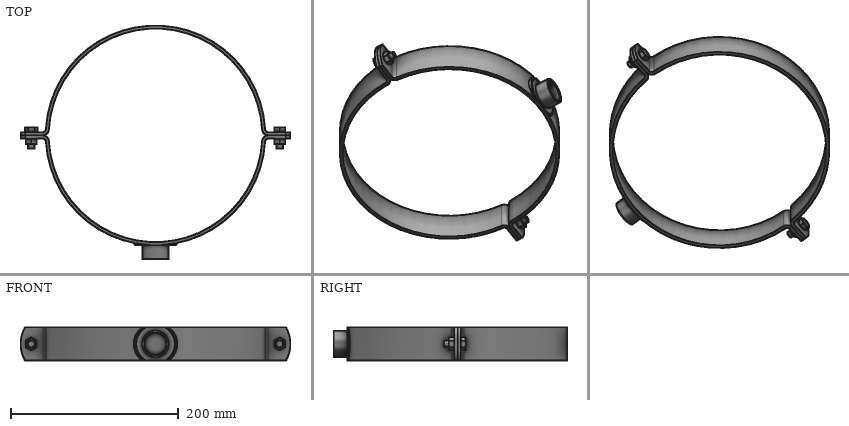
import cadquery as cq
import math

BAND_WIDTH = 40.0
BAND_THICKNESS = 4.0
RING_OUTER_RADIUS = 131.0
RING_INNER_RADIUS = RING_OUTER_RADIUS - BAND_THICKNESS
HALF_LENGTH = 161.0
EAR_TIP_RADIUS = BAND_WIDTH
BEND_INNER_RADIUS = 4.0
BEND_OUTER_RADIUS = BEND_INNER_RADIUS + BAND_THICKNESS

BOLT_X = 148.0
SHANK_DIAMETER = 8.0
SHANK_RADIUS = SHANK_DIAMETER / 2
BOLT_END = 15.8
HEAD_HEIGHT = 5.8
NUT_HEIGHT = 6.8
NUT_BORE_CHAMFER = 0.5
HEX_SIDES = 6
HEX_ACROSS_CORNERS = 15.5
LEFT_HEAD_TURN = 0
RIGHT_HEAD_TURN = 30
NUT_TURN = 30
HEX_FLAT_RADIUS = HEX_ACROSS_CORNERS / 2 * math.cos(math.pi / HEX_SIDES)
HEX_BEVEL_ANGLE = math.radians(30)

SOCKET_END = 147.8
SOCKET_OUTER_RADIUS = 15.8
SOCKET_BORE_RADIUS = 13.0
BORE_CHAMFER = 0.5
FOOT_THICKNESS = 0.3
FOOT_FACE = RING_OUTER_RADIUS + FOOT_THICKNESS
FOOT_FACE_RADIUS = 23.0
FOOT_BEVEL_RADIUS = 24.5
FOOT_BASE_RADIUS = 26.0
SHALLOW_BEVEL_DROP = 0.5
STEEP_BEVEL_DROP = 2.3


def y_cylinder(radius, y_start, y_end, x=0.0):
    """Cylinder along Y between two Y positions."""
    plane = cq.Plane(origin=(x, y_start, 0), xDir=(1, 0, 0), normal=(0, 1, 0))
    return cq.Workplane(plane).circle(radius).extrude(y_end - y_start)


def bevelled_hexagon(y_start, y_end, x, turn):
    """Hexagonal prism along Y with its corners bevelled at both ends."""
    plane = cq.Plane(origin=(x, y_start, 0), xDir=(1, 0, 0), normal=(0, 1, 0)).rotated((0, 0, turn))
    prism = cq.Workplane(plane).polygon(HEX_SIDES, HEX_ACROSS_CORNERS).extrude(y_end - y_start)

    y_middle = (y_start + y_end) / 2
    middle_radius = HEX_FLAT_RADIUS + (y_middle - y_start) / math.tan(HEX_BEVEL_ANGLE)
    double_cone = (
        cq.Workplane("XY")
        .moveTo(x, y_start)
        .lineTo(x + HEX_FLAT_RADIUS, y_start)
        .lineTo(x + middle_radius, y_middle)
        .lineTo(x + HEX_FLAT_RADIUS, y_end)
        .lineTo(x, y_end)
        .close()
        .revolve(360, (x, 0, 0), (x, 1, 0))
    )
    return prism.intersect(double_cone)


def make_half_band():
    """Rear half of the clamp: a half ring, two bends and two bolted ears."""
    blank_x = HALF_LENGTH + BAND_THICKNESS
    bend_y = BEND_OUTER_RADIUS
    bend_x = math.sqrt((RING_OUTER_RADIUS + BEND_INNER_RADIUS) ** 2 - bend_y ** 2)
    ring_angle = math.atan2(bend_y, bend_x)
    bend_mid_angle = (ring_angle - math.pi / 2) / 2

    def on_ring(radius, side):
        return (side * radius * math.cos(ring_angle), radius * math.sin(ring_angle))

    def on_bend(radius, side):
        return (
            side * (bend_x - radius * math.cos(bend_mid_angle)),
            bend_y + radius * math.sin(bend_mid_angle),
        )

    profile = (
        cq.Workplane("XY")
        .moveTo(-blank_x, 0)
        .lineTo(-bend_x, 0)
        .threePointArc(on_bend(BEND_OUTER_RADIUS, -1), on_ring(RING_INNER_RADIUS, -1))
        .threePointArc((0, RING_INNER_RADIUS), on_ring(RING_INNER_RADIUS, 1))
        .threePointArc(on_bend(BEND_OUTER_RADIUS, 1), (bend_x, 0))
        .lineTo(blank_x, 0)
        .lineTo(blank_x, BAND_THICKNESS)
        .lineTo(bend_x, BAND_THICKNESS)
        .threePointArc(on_bend(BEND_INNER_RADIUS, 1), on_ring(RING_OUTER_RADIUS, 1))
        .threePointArc((0, RING_OUTER_RADIUS), on_ring(RING_OUTER_RADIUS, -1))
        .threePointArc(on_bend(BEND_INNER_RADIUS, -1), (-bend_x, BAND_THICKNESS))
        .lineTo(-blank_x, BAND_THICKNESS)
        .close()
    )
    band = profile.extrude(BAND_WIDTH / 2, both=True)

    arc_center_x = HALF_LENGTH - EAR_TIP_RADIUS
    outline = cq.Workplane("XY").box(2 * arc_center_x, 2 * HALF_LENGTH, BAND_WIDTH)
    for x in (-arc_center_x, arc_center_x):
        outline = outline.union(y_cylinder(EAR_TIP_RADIUS, -HALF_LENGTH, HALF_LENGTH, x))
    band = band.intersect(outline)

    for x in (-BOLT_X, BOLT_X):
        band = band.cut(y_cylinder(SHANK_RADIUS, 0, BAND_THICKNESS, x))
    return band


def make_bolt(x, head_turn):
    """Hexagon bolt, its head on the rear ear and its shank pointing to -Y."""
    head = bevelled_hexagon(BAND_THICKNESS, BAND_THICKNESS + HEAD_HEIGHT, x, head_turn)
    shank = y_cylinder(SHANK_RADIUS, -BOLT_END, BAND_THICKNESS, x)
    return head.union(shank)


def make_nut(x):
    """Hexagon nut against the front ear, its bore chamfered at the free end."""
    nut_end = -BAND_THICKNESS - NUT_HEIGHT
    nut = bevelled_hexagon(nut_end, -BAND_THICKNESS, x, NUT_TURN)
    nut = nut.cut(y_cylinder(SHANK_RADIUS, nut_end, -BAND_THICKNESS, x))
    bore_rim = cq.selectors.RadiusNthSelector(0)
    return nut.faces("<Y").edges("%CIRCLE").edges(bore_rim).chamfer(NUT_BORE_CHAMFER)


def make_socket():
    """Blind socket on a bevelled round foot that is shaped to the ring."""
    bevel_y = -FOOT_FACE + SHALLOW_BEVEL_DROP
    base_y = bevel_y + STEEP_BEVEL_DROP
    bore_chamfer_radius = SOCKET_BORE_RADIUS + BORE_CHAMFER
    profile = (
        cq.Workplane("XY")
        .moveTo(0, base_y)
        .lineTo(FOOT_BASE_RADIUS, base_y)
        .lineTo(FOOT_BEVEL_RADIUS, bevel_y)
        .lineTo(FOOT_FACE_RADIUS, -FOOT_FACE)
        .lineTo(SOCKET_OUTER_RADIUS, -FOOT_FACE)
        .lineTo(SOCKET_OUTER_RADIUS, -SOCKET_END)
        .lineTo(bore_chamfer_radius, -SOCKET_END)
        .lineTo(SOCKET_BORE_RADIUS, -SOCKET_END + BORE_CHAMFER)
        .lineTo(SOCKET_BORE_RADIUS, -FOOT_FACE)
        .lineTo(0, -FOOT_FACE)
        .close()
    )
    socket = profile.revolve(360, (0, 0, 0), (0, 1, 0))

    ring_space = cq.Workplane("XY").circle(RING_OUTER_RADIUS).extrude(BAND_WIDTH, both=True)
    band_limits = cq.Workplane("XY").box(2 * SOCKET_END, 2 * SOCKET_END, BAND_WIDTH)
    return socket.cut(ring_space).intersect(band_limits)


rear_band = make_half_band()
front_band = make_half_band().mirror("XZ")
socket = make_socket()
bolts = [make_bolt(x, turn) for x, turn in ((-BOLT_X, LEFT_HEAD_TURN), (BOLT_X, RIGHT_HEAD_TURN))]
nuts = [make_nut(x) for x in (-BOLT_X, BOLT_X)]

result = cq.Compound.makeCompound(
    [rear_band.val(), front_band.val(), socket.val()]
    + [bolt.val() for bolt in bolts]
    + [nut.val() for nut in nuts]
)